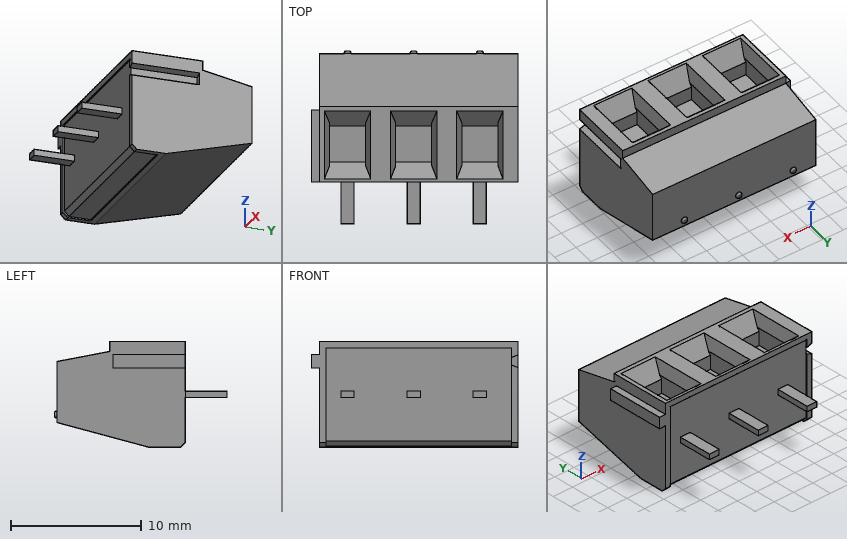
import cadquery as cq

POLES = 3
PITCH = 5.07
FIRST_POLE_X = 2.15

BODY_LENGTH = 15.23
BODY_DEPTH = 9.86
BODY_HEIGHT = 8.13
SHELF_DEPTH = 5.82
SHELF_STEP = 0.76
BACK_TOP_DROP = 1.54
BACK_BOTTOM_RISE = 1.9
FLAT_BOTTOM_END = 2.79
BOTTOM_CHAMFER = 0.38

RIM = 0.5
RECESS_DEPTH = 0.11
BOTTOM_RECESS_END = FLAT_BOTTOM_END - RIM

RAIL_Z = BODY_HEIGHT - 1.52
RAIL_LENGTH = 5.55
TAB_WIDTH = 0.62
TAB_HEIGHT = 1.05
GROOVE_MOUTH = 0.97
GROOVE_FLOOR = 0.59

FUNNEL_WIDTH = 3.55
THROAT_WIDTH = 2.75
FUNNEL_FRONT_Y = 0.25
FUNNEL_BACK_Y = 5.45
THROAT_FRONT_Y = 1.54
THROAT_BACK_Y = THROAT_FRONT_Y + THROAT_WIDTH
SIDE_TAPER_DEPTH = 1.05
END_TAPER_DEPTH = 1.32
POCKET_DEPTH = 2.6

PIN_WIDTH = 1.01
PIN_THICKNESS = 0.5
PIN_LENGTH = 3.2
PIN_Z = BODY_HEIGHT / 2

NUB_RADIUS = 0.27
NUB_ROUNDING = 0.16
NUB_HEIGHT = 0.2
NUB_Z = 2.52

POLE_XS = [FIRST_POLE_X + i * PITCH for i in range(POLES)]


def prism_along_x(points, x_start, length):
    """Extrude a (Y, Z) outline along +X."""
    return cq.Workplane("YZ", origin=(x_start, 0, 0)).polyline(points).close().extrude(length)


def prism_along_y(points, length):
    """Extrude an (X, Z) outline from the pin side toward +Y."""
    return cq.Workplane("XZ").polyline(points).close().extrude(-length)


def make_body():
    outline = [
        (BOTTOM_CHAMFER, 0),
        (FLAT_BOTTOM_END, 0),
        (BODY_DEPTH, BACK_BOTTOM_RISE),
        (BODY_DEPTH, BODY_HEIGHT - BACK_TOP_DROP),
        (SHELF_DEPTH, BODY_HEIGHT - SHELF_STEP),
        (SHELF_DEPTH, BODY_HEIGHT),
        (0, BODY_HEIGHT),
        (0, BOTTOM_CHAMFER),
    ]
    return prism_along_x(outline, 0, BODY_LENGTH)


def make_recess():
    """Shallow recess that wraps from the pin side around the chamfer onto the bottom."""
    outline = [
        (0, 0),
        (BOTTOM_RECESS_END, 0),
        (BOTTOM_RECESS_END, RECESS_DEPTH),
        (RECESS_DEPTH + BOTTOM_CHAMFER, RECESS_DEPTH),
        (RECESS_DEPTH, RECESS_DEPTH + BOTTOM_CHAMFER),
        (RECESS_DEPTH, BODY_HEIGHT - RIM),
        (0, BODY_HEIGHT - RIM),
    ]
    return prism_along_x(outline, RIM, BODY_LENGTH - 2 * RIM)


def make_tab():
    """Tab on the left side that slides into the groove of a neighbouring block."""
    return cq.Workplane("XY").box(TAB_WIDTH, RAIL_LENGTH, TAB_HEIGHT).translate(
        (-TAB_WIDTH / 2, RAIL_LENGTH / 2, RAIL_Z)
    )


def make_groove():
    """Groove that takes the tab of a neighbouring block; it narrows toward its floor."""
    outline = [
        (BODY_LENGTH, RAIL_Z - GROOVE_MOUTH / 2),
        (BODY_LENGTH, RAIL_Z + GROOVE_MOUTH / 2),
        (BODY_LENGTH - RIM, RAIL_Z + GROOVE_FLOOR / 2),
        (BODY_LENGTH - RIM, RAIL_Z - GROOVE_FLOOR / 2),
    ]
    return prism_along_y(outline, RAIL_LENGTH)


def funnel_outline(mouth_start, mouth_end, throat_start, throat_end, taper_depth):
    """Section of a wire pocket: tapered mouth above a straight throat."""
    taper_z = BODY_HEIGHT - taper_depth
    floor_z = BODY_HEIGHT - POCKET_DEPTH
    return [
        (mouth_start, BODY_HEIGHT),
        (throat_start, taper_z),
        (throat_start, floor_z),
        (throat_end, floor_z),
        (throat_end, taper_z),
        (mouth_end, BODY_HEIGHT),
    ]


def make_wire_pocket(x):
    across = funnel_outline(
        x - FUNNEL_WIDTH / 2,
        x + FUNNEL_WIDTH / 2,
        x - THROAT_WIDTH / 2,
        x + THROAT_WIDTH / 2,
        SIDE_TAPER_DEPTH,
    )
    along = funnel_outline(FUNNEL_FRONT_Y, FUNNEL_BACK_Y, THROAT_FRONT_Y, THROAT_BACK_Y, END_TAPER_DEPTH)
    side_walls = prism_along_y(across, BODY_DEPTH)
    end_walls = prism_along_x(along, x - FUNNEL_WIDTH / 2, FUNNEL_WIDTH)
    return side_walls.intersect(end_walls)


def make_pin(x):
    """Solder pin, rooted in the floor of the recess."""
    pin = cq.Workplane("XZ", origin=(x, RECESS_DEPTH, PIN_Z)).rect(PIN_WIDTH, PIN_THICKNESS)
    return pin.extrude(PIN_LENGTH + RECESS_DEPTH)


def make_nub(x):
    """Small round nub with a rounded rim on the back face."""
    nub = cq.Workplane("XZ", origin=(x, BODY_DEPTH, NUB_Z)).circle(NUB_RADIUS).extrude(-NUB_HEIGHT)
    return nub.faces(">Y").edges().fillet(NUB_ROUNDING)


result = make_body().cut(make_recess()).cut(make_groove()).union(make_tab())
for pole_x in POLE_XS:
    result = result.cut(make_wire_pocket(pole_x)).union(make_pin(pole_x)).union(make_nub(pole_x))